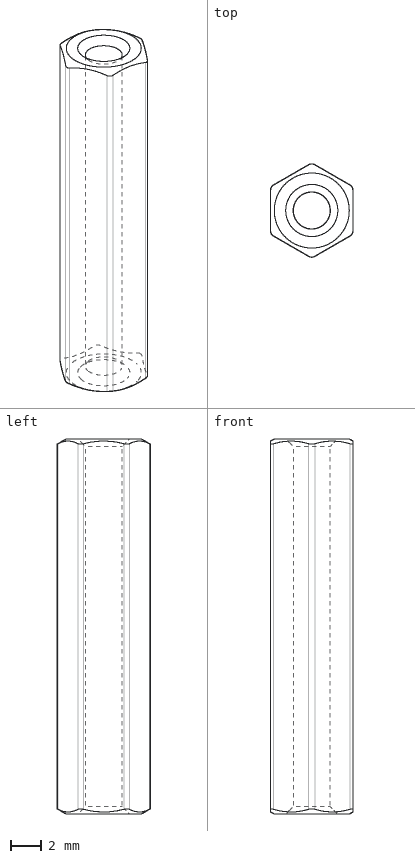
import cadquery as cq
import math

length = 25.0
across_flats = 5.5
edge_radius = 0.4
end_face_diameter = 5.0
end_chamfer_angle = 30.0
bore_diameter = 2.45
countersink_diameter = 3.48
countersink_angle = 90.0

sharp_corner_diameter = across_flats / math.cos(math.radians(30))
half_length = length / 2


def hex_bar():
    """Hexagonal bar with flats facing +X and -X and rounded long edges."""
    bar = (
        cq.Workplane("XY", origin=(0, 0, -half_length))
        .transformed(rotate=(0, 0, 30))
        .polygon(6, sharp_corner_diameter)
        .extrude(length)
    )
    return bar.edges("|Z").fillet(edge_radius)


def chamfer_envelope():
    """Round body with conical ends that trims the hexagon corners."""
    end_radius = end_face_diameter / 2
    outer_radius = sharp_corner_diameter / 2
    chamfer_height = (outer_radius - end_radius) * math.tan(math.radians(end_chamfer_angle))
    shoulder = half_length - chamfer_height
    return (
        cq.Workplane("XZ")
        .moveTo(0, -half_length)
        .lineTo(end_radius, -half_length)
        .lineTo(outer_radius, -shoulder)
        .lineTo(outer_radius, shoulder)
        .lineTo(end_radius, half_length)
        .lineTo(0, half_length)
        .close()
        .revolve(360, (0, 0, 0), (0, 1, 0))
    )


result = hex_bar().intersect(chamfer_envelope())

for end in (">Z", "<Z"):
    result = (
        result.faces(end)
        .workplane(origin=(0, 0, 0))
        .cskHole(bore_diameter, countersink_diameter, countersink_angle)
    )